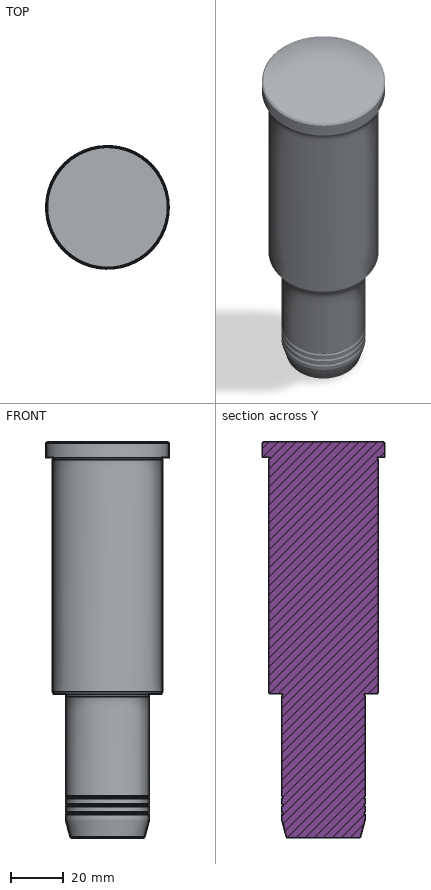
import cadquery as cq
import math

total_length = 151.0
head_diameter = 47.0
head_height = 6.0
body_diameter = 42.0
body_length = 90.1
pin_diameter = 32.0

head_chamfer = 0.6
shoulder_chamfer_height = 0.9
shoulder_chamfer_depth = 0.5

taper_length = 7.1
taper_angle = 15.0
tip_chamfer = 0.5

groove_count = 3
groove_pitch = 3.0
groove_width = 1.2
groove_depth = 0.5
lowest_groove_height = 9.5

head_bottom = total_length - head_height
body_bottom = head_bottom - body_length
tip_diameter = 2 * (pin_diameter / 2 - taper_length * math.tan(math.radians(taper_angle)))


def cylinder(diameter, bottom, top):
    return cq.Workplane("XY").workplane(offset=bottom).circle(diameter / 2).extrude(top - bottom)


def chamfered_shaft(diameter, bottom, top, both_ends):
    """Cylinder with a steep chamfer at its top end, or at both ends."""
    radius = diameter / 2
    end_radius = radius - shoulder_chamfer_depth
    profile = cq.Workplane("XZ").moveTo(0, bottom)
    if both_ends:
        profile = profile.lineTo(end_radius, bottom).lineTo(radius, bottom + shoulder_chamfer_height)
    else:
        profile = profile.lineTo(radius, bottom)
    return (
        profile.lineTo(radius, top - shoulder_chamfer_height)
        .lineTo(end_radius, top)
        .lineTo(0, top)
        .close()
        .revolve(360, (0, 0, 0), (0, 1, 0))
    )


def ring_groove(center_height):
    """Ring with a V section whose apex points at the pin axis."""
    pin_radius = pin_diameter / 2
    return (
        cq.Workplane("XZ")
        .moveTo(pin_radius - groove_depth, center_height)
        .lineTo(pin_radius, center_height + groove_width / 2)
        .lineTo(pin_radius + groove_depth, center_height + groove_width / 2)
        .lineTo(pin_radius + groove_depth, center_height - groove_width / 2)
        .lineTo(pin_radius, center_height - groove_width / 2)
        .close()
        .revolve(360, (0, 0, 0), (0, 1, 0))
    )


head = cylinder(head_diameter, head_bottom, total_length).faces(">Z").chamfer(head_chamfer)
body = chamfered_shaft(body_diameter, body_bottom, head_bottom, both_ends=True)
pin = chamfered_shaft(pin_diameter, taper_length, body_bottom, both_ends=False)
tip = (
    cq.Workplane("XY")
    .circle(tip_diameter / 2)
    .workplane(offset=taper_length)
    .circle(pin_diameter / 2)
    .loft(ruled=True)
    .faces("<Z")
    .chamfer(tip_chamfer)
)

result = head.union(body).union(pin).union(tip)

for index in range(groove_count):
    result = result.cut(ring_groove(lowest_groove_height + index * groove_pitch))